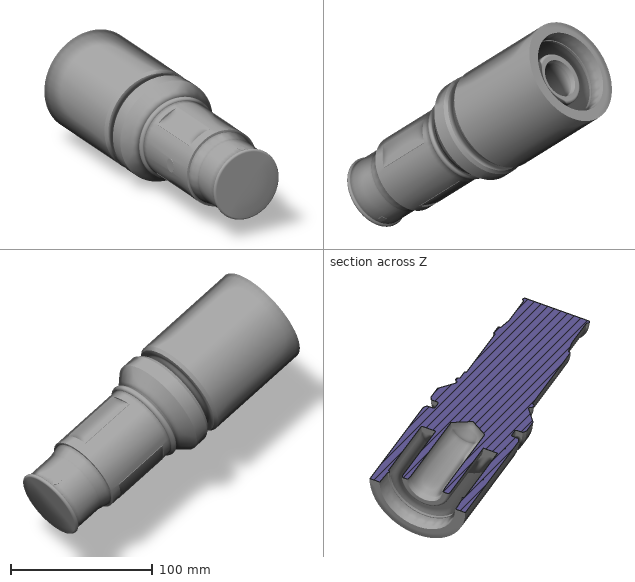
import cadquery as cq
import math

length = 214.9
outer_diameter = 76.3
outer_radius = outer_diameter / 2

sleeve_end = 85.0
collar_start = 91.5
edge_bevel_length = 2.5
edge_bevel_height = 1.7
neck_radius = 30.7
neck_fillet = 1.0
collar_cone_start = 104.5
collar_cone_end = 115.4

grip_diameter = 57.8
grip_radius = grip_diameter / 2
grip_end = 180.3
grip_bead_start = 116.7
grip_bead_width = 4.5
grip_bead_height = 2.1

taper_radius = 27.0
taper_end = 189.3
tail_radius = 25.1
end_bead_width = 3.0
end_bead_height = end_bead_width / 2

socket_radius = 30.0
mouth_end_radius = 29.5
socket_depth = 64.5
rib_radius = 28.8
rib_start = 11.5
rib_width = 2.0

post_radius = 19.1
post_tip = 11.5
post_tip_round = 2.0
bore_radius = 13.3
bore_mouth_radius = 14.0
bore_mouth_depth = 3.7
bore_end = 77.4
bore_tip_angle = 118.0

root_distance = tail_radius

pad_count = 3
pad_start = 128.3
pad_length = 44.3
pad_width = 19.3
pad_distance = 27.5

button_radius = 5.0
button_x = 157.7

arrow_start = 204.5
arrow_shoulder = 208.5
arrow_tip = 211.5
arrow_half_width = 2.4
arrow_height = 0.32


def revolve_about_x(profile):
    """Close a half profile drawn as (X, radius) and turn it about the X axis."""
    return profile.close().revolve(360, (0, 0, 0), (1, 0, 0))


def bead(profile, start, width, base_radius, height):
    """Continue a profile with an outward round bead."""
    crest = (start + width / 2, base_radius + height)
    return profile.threePointArc(crest, (start + width, base_radius))


def make_body():
    bevel_radius = outer_radius - edge_bevel_height
    fillet_mid = neck_fillet * (1 - math.sqrt(0.5))
    fillet_top = neck_radius + neck_fillet
    profile = (
        cq.Workplane("XY")
        .lineTo(0, outer_radius)
        .lineTo(sleeve_end - edge_bevel_length, outer_radius)
        .lineTo(sleeve_end, bevel_radius)
        .lineTo(sleeve_end, fillet_top)
        .threePointArc(
            (sleeve_end + fillet_mid, neck_radius + fillet_mid),
            (sleeve_end + neck_fillet, neck_radius),
        )
        .lineTo(collar_start - neck_fillet, neck_radius)
        .threePointArc(
            (collar_start - fillet_mid, neck_radius + fillet_mid),
            (collar_start, fillet_top),
        )
        .lineTo(collar_start, bevel_radius)
        .lineTo(collar_start + edge_bevel_length, outer_radius)
        .lineTo(collar_cone_start, outer_radius)
        .lineTo(collar_cone_end, grip_radius)
        .lineTo(grip_bead_start, grip_radius)
    )
    profile = bead(profile, grip_bead_start, grip_bead_width, grip_radius, grip_bead_height)
    end_bead_start = length - end_bead_width
    profile = (
        profile.lineTo(grip_end, grip_radius)
        .lineTo(grip_end, taper_radius)
        .lineTo(taper_end, tail_radius)
        .lineTo(end_bead_start, tail_radius)
    )
    profile = bead(profile, end_bead_start, end_bead_width, tail_radius, end_bead_height)
    return revolve_about_x(profile.lineTo(length, 0))


def make_socket():
    """Space between the sleeve and the post, open at the mouth."""
    round_mid = post_tip_round * (1 - math.sqrt(0.5))
    rib_end = rib_start + rib_width
    profile = (
        cq.Workplane("XY")
        .lineTo(0, socket_radius)
        .lineTo(rib_start, mouth_end_radius)
        .lineTo(rib_start, rib_radius)
        .lineTo(rib_end, rib_radius)
        .lineTo(rib_end, socket_radius)
        .lineTo(socket_depth, socket_radius)
        .lineTo(socket_depth, post_radius)
        .lineTo(post_tip + post_tip_round, post_radius)
        .threePointArc(
            (post_tip + round_mid, post_radius - round_mid),
            (post_tip, post_radius - post_tip_round),
        )
        .lineTo(post_tip, 0)
    )
    return revolve_about_x(profile)


def make_bore():
    """Blind bore of the post, with a tapered mouth and a drill-point bottom."""
    bore_tip = bore_end + bore_radius / math.tan(math.radians(bore_tip_angle / 2))
    profile = (
        cq.Workplane("XY")
        .moveTo(post_tip, 0)
        .lineTo(post_tip, bore_mouth_radius)
        .lineTo(post_tip + bore_mouth_depth, bore_radius)
        .lineTo(bore_end, bore_radius)
        .lineTo(bore_tip, 0)
    )
    return revolve_about_x(profile)


def pad_block(base, top, angle):
    """Block over one pad, from one distance off the axis to another."""
    block = cq.Workplane("XY").box(
        pad_length, top - base, pad_width, centered=(False, False, True)
    )
    return block.translate((pad_start, base, 0)).rotate((0, 0, 0), (1, 0, 0), angle)


def add_pads(body):
    """Level the grip at each pad; the long pad edges stand slightly proud."""
    for index in range(pad_count):
        angle = index * 360 / pad_count
        body = body.union(pad_block(root_distance, pad_distance, angle))
        body = body.cut(pad_block(pad_distance, outer_radius, angle))
    return body


def make_button():
    """Flat-topped button, its face touching the crest of the grip."""
    return (
        cq.Workplane("XZ", origin=(button_x, -root_distance, 0))
        .circle(button_radius)
        .extrude(grip_radius - root_distance)
    )


def make_arrow(plane):
    """Arrow of even height on the tail, on the side the plane faces."""
    outline = [
        (arrow_start, -arrow_half_width),
        (arrow_shoulder, -arrow_half_width),
        (arrow_tip, 0),
        (arrow_shoulder, arrow_half_width),
        (arrow_start, arrow_half_width),
    ]
    prism = cq.Workplane(plane).polyline(outline).close().extrude(outer_radius)
    skin = cq.Workplane("YZ").circle(tail_radius + arrow_height).extrude(length)
    return prism.intersect(skin)


result = make_body()
result = add_pads(result)
result = result.union(make_button())
for arrow_plane in ("XY", cq.Plane((0, 0, 0), (1, 0, 0), (0, 0, -1))):
    result = result.union(make_arrow(arrow_plane))
result = result.cut(make_socket()).cut(make_bore())